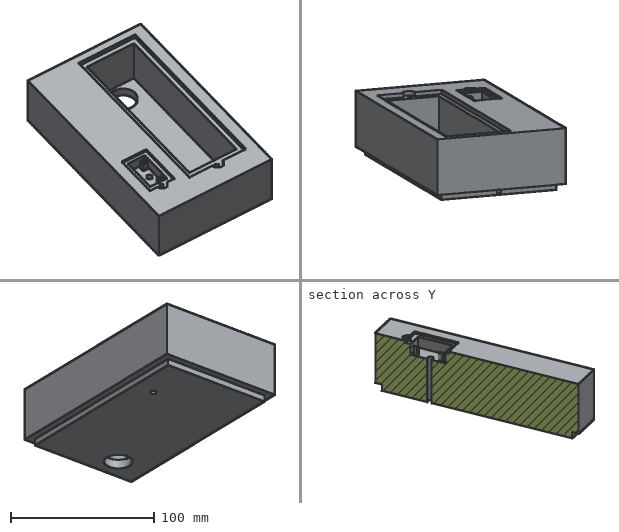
import cadquery as cq

LENGTH = 160.0
WIDTH = 96.2
BASE_HEIGHT = 5.0
TOTAL_HEIGHT = 45.0
BASE_INSET = 5.1
BODY_HEIGHT = TOTAL_HEIGHT - BASE_HEIGHT

SCREW_DIAMETER = 3.0
SCREW_DEPTH = 9.6

LARGE_LID_SIZE = (135.0, 48.0)
LARGE_LID_CENTER = (-6.0, 14.9)
LARGE_LID_DEPTH = 3.0
LARGE_POCKET_SIZE = (125.0, 40.0)
LARGE_POCKET_CENTER = (-7.0, 15.0)
LARGE_POCKET_DEPTH = 35.0
LARGE_HOLE_DIAMETER = 20.0
LARGE_HOLE_CENTER = (-57.3, 17.5)
LARGE_TAB_RADIUS = 4.3
LARGE_TAB_CENTER = (61.6, LARGE_LID_CENTER[1])
LARGE_SCREW_CENTER = (60.5, LARGE_LID_CENTER[1])

SMALL_LID_SIZE = (34.4, 20.8)
SMALL_LID_CENTER = (39.2, -28.8)
SMALL_LID_DEPTH = 1.6
SMALL_POCKET_SIZE = (27.2, 14.2)
SMALL_POCKET_CENTER = (38.4, -28.8)
SMALL_POCKET_DEPTH = 8.5
SMALL_HOLE_DIAMETER = 4.5
SMALL_HOLE_CENTER = (37.3, -26.2)
SMALL_TAB_RADIUS = 4.0
SMALL_TAB_CENTER = (56.2, SMALL_LID_CENTER[1])
SMALL_SCREW_CENTER = (55.5, SMALL_LID_CENTER[1])

POST_SIDE = 3.8
POST_HEIGHT = 6.5
POST_HOLE_DIAMETER = 2.5
POST_CENTERS = [(28.3, -24.6), (48.5, -24.6)]


def box(size, center, bottom, height):
    """Upright rectangular block."""
    return cq.Workplane("XY", origin=(*center, bottom)).rect(*size).extrude(height)


def cylinder(diameter, center, bottom, height):
    """Upright round block."""
    return cq.Workplane("XY", origin=(*center, bottom)).circle(diameter / 2).extrude(height)


def compartment(lid_size, lid_center, lid_depth, tab_center, tab_radius,
                pocket_size, pocket_center, pocket_depth,
                hole_center, hole_diameter, screw_center):
    """Volume removed for one compartment, including its through hole and lid screw hole."""
    ledge = TOTAL_HEIGHT - lid_depth
    lid = box(lid_size, lid_center, ledge, lid_depth)
    tab = cylinder(2 * tab_radius, tab_center, ledge, lid_depth)
    pocket = box(pocket_size, pocket_center, ledge - pocket_depth, pocket_depth)
    hole = cylinder(hole_diameter, hole_center, 0, TOTAL_HEIGHT)
    screw = cylinder(SCREW_DIAMETER, screw_center, ledge - SCREW_DEPTH, SCREW_DEPTH)
    return lid.union(tab).union(pocket).union(hole).union(screw)


base = box((LENGTH - 2 * BASE_INSET, WIDTH - 2 * BASE_INSET), (0, 0), 0, BASE_HEIGHT)
body = box((LENGTH, WIDTH), (0, 0), BASE_HEIGHT, BODY_HEIGHT)
result = base.union(body)

result = result.cut(compartment(
    LARGE_LID_SIZE, LARGE_LID_CENTER, LARGE_LID_DEPTH, LARGE_TAB_CENTER, LARGE_TAB_RADIUS,
    LARGE_POCKET_SIZE, LARGE_POCKET_CENTER, LARGE_POCKET_DEPTH,
    LARGE_HOLE_CENTER, LARGE_HOLE_DIAMETER, LARGE_SCREW_CENTER))
result = result.cut(compartment(
    SMALL_LID_SIZE, SMALL_LID_CENTER, SMALL_LID_DEPTH, SMALL_TAB_CENTER, SMALL_TAB_RADIUS,
    SMALL_POCKET_SIZE, SMALL_POCKET_CENTER, SMALL_POCKET_DEPTH,
    SMALL_HOLE_CENTER, SMALL_HOLE_DIAMETER, SMALL_SCREW_CENTER))

small_floor = TOTAL_HEIGHT - SMALL_LID_DEPTH - SMALL_POCKET_DEPTH
for post_center in POST_CENTERS:
    post = box((POST_SIDE, POST_SIDE), post_center, small_floor, POST_HEIGHT)
    pilot = cylinder(POST_HOLE_DIAMETER, post_center, small_floor, POST_HEIGHT)
    result = result.union(post.cut(pilot))

base_screw = (
    cq.Workplane("YZ", origin=(-LENGTH / 2 + BASE_INSET, 0, BASE_HEIGHT / 2))
    .circle(SCREW_DIAMETER / 2)
    .extrude(SCREW_DEPTH)
)
result = result.cut(base_screw)